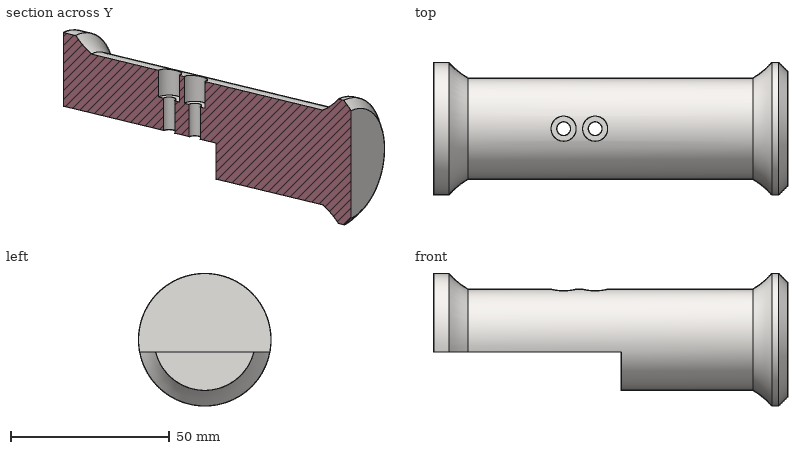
import cadquery as cq
import math

length = 112.0
body_radius = 32.0 / 2
flange_radius = 42.0 / 2

left_rim_width = 4.8
flare_length = 6.0
flare_sag = 0.3
right_rim_width = 2.1
end_chamfer = 2.9

flat_z = -3.9
flat_length = 59.2

hole_diameter = 4.3
counterbore_diameter = 8.0
counterbore_depth = 9.0
first_hole_x = 41.1
hole_spacing = 10.0

left_flare_end = left_rim_width + flare_length
chamfer_start = length - end_chamfer
right_rim_start = chamfer_start - right_rim_width
right_flare_start = right_rim_start - flare_length


def flare_middle(rim_x, body_x):
    """Middle point of a flare, bowed inward from the straight line between its ends."""
    flare_height = flange_radius - body_radius
    chord = math.hypot(flare_length, flare_height)
    toward_rim = math.copysign(1, rim_x - body_x)
    middle_x = (rim_x + body_x) / 2 + toward_rim * flare_sag * flare_height / chord
    middle_radius = (flange_radius + body_radius) / 2 - flare_sag * flare_length / chord
    return middle_x, middle_radius


def turned_body():
    """Solid of revolution with a flange at each end."""
    profile = (
        cq.Workplane("XZ")
        .lineTo(0, flange_radius)
        .lineTo(left_rim_width, flange_radius)
        .threePointArc(flare_middle(left_rim_width, left_flare_end), (left_flare_end, body_radius))
        .lineTo(right_flare_start, body_radius)
        .threePointArc(flare_middle(right_rim_start, right_flare_start), (right_rim_start, flange_radius))
        .lineTo(chamfer_start, flange_radius)
        .lineTo(length, flange_radius - end_chamfer)
        .lineTo(length, 0)
        .close()
    )
    return profile.revolve(360, (0, 0, 0), (1, 0, 0))


def flat_cut():
    """Block that removes the underside up to the step."""
    block = cq.Workplane("XY").box(
        flat_length, 2 * flange_radius, flange_radius, centered=(False, True, False)
    )
    return block.translate((0, 0, flat_z - flange_radius))


def add_screw_holes(handle):
    """Drill the counterbored holes straight down from the top of the body."""
    hole_centers = [(first_hole_x, 0), (first_hole_x + hole_spacing, 0)]
    return (
        handle.copyWorkplane(cq.Workplane("XY", origin=(0, 0, body_radius)))
        .pushPoints(hole_centers)
        .cboreHole(hole_diameter, counterbore_diameter, counterbore_depth)
    )


result = add_screw_holes(turned_body().cut(flat_cut()))